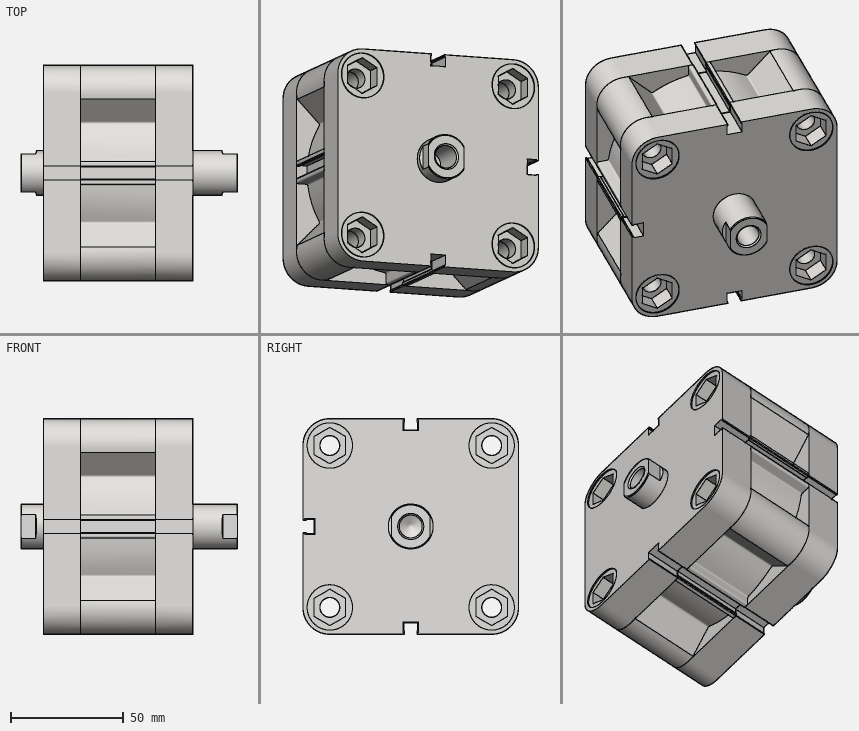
import cadquery as cq
import math


side = 96.0
half_side = side / 2
corner_radius = 12.0
cap_length = 16.5
barrel_length = 33.5
housing_length = barrel_length + 2 * cap_length

screw_offset = half_side - corner_radius
screw_hole_diameter = 8.7
recess_diameter = 20.2
recess_depth = 0.6
hex_across_flats = 14.0
hex_diameter = hex_across_flats / math.cos(math.pi / 6)
hex_depth = 8.0

slot_inset = 0.4
cap_slot_mouth = 3.1
cap_slot_half_width = cap_slot_mouth + slot_inset
cap_slot_depth = 5.4
cap_lip = 0.6
barrel_slot_mouth = cap_slot_mouth - slot_inset
barrel_slot_half_width = cap_slot_half_width - slot_inset
barrel_slot_depth = cap_slot_depth - slot_inset
barrel_lip = 1.0
cap_slot_angles = (0, 90, 180)
barrel_slot_angles = (0, 90, 180, 270)

tube_radius = 43.0
lobe_edge = 33.0
rail_half_width = 5.2
rail_fillet = 0.85
valley_fillet = 1.0

rod_diameter = 20.0
rod_radius = rod_diameter / 2
rod_front_projection = 10.0
rod_rear_projection = 20.0
rod_length = rod_front_projection + housing_length + rod_rear_projection
rod_chamfer = 0.4
flat_half_width = 8.5
flat_length = 6.6
flat_runout = 0.5
thread_diameter = 10.2
thread_depth = 20.0
thread_chamfer = 0.7
drill_half_angle = math.radians(59)


def screw_places(x_start):
    square = cq.Workplane("YZ").workplane(offset=x_start)
    return square.rect(2 * screw_offset, 2 * screw_offset, forConstruction=True).vertices()


def cut_through_holes(body, x_start, length):
    """Cut the rod hole and the four screw holes along the whole body."""
    rod_hole = cq.Workplane("YZ").workplane(offset=x_start).circle(rod_radius).extrude(length)
    screw_holes = screw_places(x_start).circle(screw_hole_diameter / 2).extrude(length)
    return body.cut(rod_hole).cut(screw_holes)


def slot_cutter(outline, x_start, length):
    """Slot through the +Z side, from its outline on the +Y half, listed from mouth to floor."""
    mirrored = [(-y, z) for y, z in reversed(outline)]
    return cq.Workplane("YZ").workplane(offset=x_start).polyline(outline + mirrored).close().extrude(length)


def turned(shape, angle):
    return shape.rotate((0, 0, 0), (1, 0, 0), angle)


def make_front_cap():
    x_face = -housing_length / 2
    cap = cq.Workplane("YZ").workplane(offset=x_face).rect(side, side).extrude(cap_length)
    cap = cap.edges("|X").fillet(corner_radius)
    cap = cut_through_holes(cap, x_face, cap_length)

    undercut_height = half_side - cap_lip - (cap_slot_half_width - cap_slot_mouth)
    cap_slot = slot_cutter(
        [
            (cap_slot_mouth, half_side),
            (cap_slot_mouth, half_side - cap_lip),
            (cap_slot_half_width, undercut_height),
            (cap_slot_half_width, half_side - cap_slot_depth),
        ],
        x_face,
        cap_length,
    )
    for angle in cap_slot_angles:
        cap = cap.cut(turned(cap_slot, angle))

    recesses = screw_places(x_face).circle(recess_diameter / 2).extrude(recess_depth)
    hexagon = cq.Workplane("YZ").polygon(6, hex_diameter).extrude(recess_depth + hex_depth)
    hexagon = turned(hexagon, 90).translate((x_face, 0, 0))
    cap = cap.cut(recesses)
    for y in (-screw_offset, screw_offset):
        for z in (-screw_offset, screw_offset):
            cap = cap.cut(hexagon.translate((0, y, z)))
    return cap


def turned_point(point, quarter_turns):
    y, z = point
    for _ in range(quarter_turns):
        y, z = z, -y
    return (y, z)


def make_barrel():
    x_start = -barrel_length / 2

    lobe_z = screw_offset + math.sqrt(corner_radius**2 - (screw_offset - lobe_edge) ** 2)
    wall_rise = lobe_z - lobe_edge
    valley_y = (math.sqrt(2 * tube_radius**2 - wall_rise**2) - wall_rise) / 2
    valley_z = valley_y + wall_rise
    foot_z = math.sqrt(tube_radius**2 - rail_half_width**2)
    tube_angle = (math.atan2(rail_half_width, foot_z) + math.atan2(valley_y, valley_z)) / 2
    tube_y = tube_radius * math.sin(tube_angle)
    tube_z = tube_radius * math.cos(tube_angle)
    lobe_tip = screw_offset + corner_radius * math.sqrt(0.5)

    outline = cq.Workplane("YZ").workplane(offset=x_start).moveTo(-lobe_edge, lobe_z)
    for turn in range(4):
        outline = (
            outline.lineTo(*turned_point((-valley_y, valley_z), turn))
            .threePointArc(
                turned_point((-tube_y, tube_z), turn),
                turned_point((-rail_half_width, foot_z), turn),
            )
            .lineTo(*turned_point((-rail_half_width, half_side), turn))
            .lineTo(*turned_point((rail_half_width, half_side), turn))
            .lineTo(*turned_point((rail_half_width, foot_z), turn))
            .threePointArc(
                turned_point((tube_y, tube_z), turn),
                turned_point((valley_y, valley_z), turn),
            )
            .lineTo(*turned_point((lobe_edge, lobe_z), turn))
            .threePointArc(
                turned_point((lobe_tip, lobe_tip), turn),
                turned_point((lobe_z, lobe_edge), turn),
            )
        )
    barrel = outline.close().extrude(barrel_length)

    rounds = (
        (valley_y, valley_z, valley_fillet),
        (rail_half_width, foot_z, rail_fillet),
        (rail_half_width, half_side, rail_fillet),
    )
    for y, z, radius in rounds:
        for turn in range(4):
            for mirrored_y in (-y, y):
                edge_y, edge_z = turned_point((mirrored_y, z), turn)
                edge = cq.NearestToPointSelector((0, edge_y, edge_z))
                barrel = barrel.edges(edge).fillet(radius)

    lip_bottom = half_side - slot_inset - barrel_lip
    undercut_height = lip_bottom - (barrel_slot_half_width - barrel_slot_mouth)
    barrel_slot = slot_cutter(
        [
            (cap_slot_mouth, half_side),
            (barrel_slot_mouth, half_side - slot_inset),
            (barrel_slot_mouth, lip_bottom),
            (barrel_slot_half_width, undercut_height),
            (barrel_slot_half_width, half_side - barrel_slot_depth),
        ],
        x_start,
        barrel_length,
    )
    for angle in barrel_slot_angles:
        barrel = barrel.cut(turned(barrel_slot, angle))
    return cut_through_holes(barrel, x_start, barrel_length)


def make_rod_end_cuts():
    """Cuts at a rod end whose face lies on X = 0, with the rod running toward +X."""
    tip_length = thread_diameter / 2 / math.tan(drill_half_angle)
    mouth_radius = thread_diameter / 2 + thread_chamfer
    bore = (
        cq.Workplane("XY")
        .polyline(
            [
                (0, 0),
                (0, mouth_radius),
                (thread_chamfer, thread_diameter / 2),
                (thread_depth, thread_diameter / 2),
                (thread_depth + tip_length, 0),
            ]
        )
        .close()
        .revolve(360, (0, 0, 0), (1, 0, 0))
    )
    flat = (
        cq.Workplane("XY")
        .polyline(
            [
                (0, flat_half_width),
                (flat_length, flat_half_width),
                (flat_length + flat_runout, rod_radius),
                (0, rod_radius),
            ]
        )
        .close()
        .extrude(rod_radius, both=True)
    )
    return bore.union(flat).union(flat.mirror("XZ"))


def make_rod():
    x_front = -housing_length / 2 - rod_front_projection
    x_rear = x_front + rod_length
    rod = cq.Workplane("YZ").workplane(offset=x_front).circle(rod_radius).extrude(rod_length)
    rod = rod.faces("<X or >X").chamfer(rod_chamfer)
    end_cuts = make_rod_end_cuts()
    rod = rod.cut(end_cuts.translate((x_front, 0, 0)))
    return rod.cut(end_cuts.mirror("YZ").translate((x_rear, 0, 0)))


front_cap = make_front_cap()
rear_cap = front_cap.mirror("YZ")
barrel = make_barrel()
rod = make_rod()

result = cq.Compound.makeCompound([front_cap.val(), rear_cap.val(), barrel.val(), rod.val()])